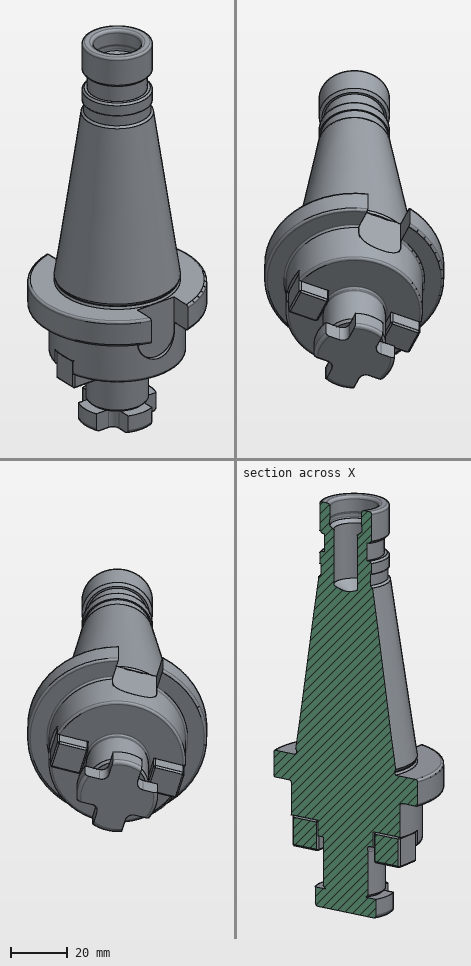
import cadquery as cq
import math


total_height = 149.4

head_radius = 14.2
head_height = 7.2
head_edge_round = 1.3
arm_half_width = 5.2
arm_corner_round = 2.7

spigot_radius = 11.0
spigot_chamfer = 0.9
spigot_relief_height = 2.0

relief_depth = 0.1
relief_run_out = 0.6

body_radius = 24.0
body_bottom = 26.0
body_edge_round = 0.9
body_neck_round = 0.7

flange_radius = 31.5
flange_thickness = 10.0
flange_top = 54.4
flange_bottom = flange_top - flange_thickness
flange_edge_round = 0.9

taper_slope = 7 / 48
taper_bottom = 56.5
taper_top = 121.5
taper_radius = 22.3
taper_top_radius = taper_radius - (taper_top - taper_bottom) * taper_slope
taper_relief_radius = 21.8
taper_relief_height = 0.9

collar_radius = 12.4
end_round = 0.9
lower_groove_radius = 12.0
lower_groove_chamfer = 0.7
collar_bottom = 126.4
collar_top = 131.2
collar_chamfer = 0.7
neck_radius = 10.6
cap_bottom = 137.6
cap_bevel_height = 1.0
cap_bevel_radius = 11.4

bore_radius = 8.5
bore_mouth_round = 1.2
bore_depth = 8.2
bore_relief_height = 2.4
thread_radius = 7.2
hole_depth = 29.9
drill_half_angle = 59

drive_slot_width = 16.1
drive_slot_floor = 22.4
drive_slot_bottom = 33.2

key_width = 10.5
key_inner = 12.0
key_outer = 23.2
key_bottom = 20.3
key_top = 31.7
key_chamfer = 0.6


def revolve_profile(profile):
    return profile.close().revolve(360, (0, 0, 0), (0, 1, 0))


def make_arbor():
    relief_radius = spigot_radius - relief_depth
    relief_bottom = body_bottom - spigot_relief_height
    profile = (
        cq.Workplane("XZ")
        .moveTo(0, head_height)
        .lineTo(spigot_radius - spigot_chamfer, head_height)
        .lineTo(spigot_radius, head_height + spigot_chamfer)
        .lineTo(spigot_radius, relief_bottom)
        .lineTo(relief_radius, relief_bottom + relief_run_out)
        .lineTo(relief_radius, body_bottom - relief_run_out)
        .radiusArc((relief_radius + relief_run_out, body_bottom), relief_run_out)
        .lineTo(body_radius - body_edge_round, body_bottom)
        .radiusArc((body_radius, body_bottom + body_edge_round), -body_edge_round)
        .lineTo(body_radius, flange_bottom - body_neck_round)
        .radiusArc((body_radius + body_neck_round, flange_bottom), body_neck_round)
        .lineTo(flange_radius - flange_edge_round, flange_bottom)
        .radiusArc((flange_radius, flange_bottom + flange_edge_round), -flange_edge_round)
        .lineTo(flange_radius, flange_top - flange_edge_round)
        .radiusArc((flange_radius - flange_edge_round, flange_top), -flange_edge_round)
        .lineTo(taper_radius, flange_top)
        .lineTo(taper_relief_radius, flange_top + taper_relief_height)
        .lineTo(taper_relief_radius, taper_bottom - taper_relief_height)
        .lineTo(taper_radius, taper_bottom)
        .lineTo(taper_top_radius, taper_top)
        .lineTo(lower_groove_radius, taper_top + lower_groove_chamfer)
        .lineTo(lower_groove_radius, collar_bottom)
        .lineTo(collar_radius, collar_bottom)
        .lineTo(collar_radius, collar_top - collar_chamfer)
        .lineTo(collar_radius - collar_chamfer, collar_top)
        .lineTo(neck_radius, collar_top)
        .lineTo(neck_radius, cap_bottom)
        .lineTo(cap_bevel_radius, cap_bottom)
        .lineTo(collar_radius, cap_bottom + cap_bevel_height)
        .lineTo(collar_radius, total_height - end_round)
        .radiusArc((collar_radius - end_round, total_height), -end_round)
        .lineTo(0, total_height)
    )
    return revolve_profile(profile)


def make_bore():
    bore_floor = total_height - bore_depth
    relief_radius = bore_radius + relief_depth
    relief_top = bore_floor + bore_relief_height
    hole_floor = total_height - hole_depth
    drill_tip = hole_floor - thread_radius / math.tan(math.radians(drill_half_angle))
    profile = (
        cq.Workplane("XZ")
        .moveTo(0, total_height)
        .lineTo(bore_radius + bore_mouth_round, total_height)
        .radiusArc((bore_radius, total_height - bore_mouth_round), -bore_mouth_round)
        .lineTo(bore_radius, relief_top)
        .lineTo(relief_radius, relief_top - relief_run_out)
        .lineTo(relief_radius, bore_floor + relief_run_out)
        .lineTo(bore_radius, bore_floor)
        .lineTo(thread_radius, bore_floor - (bore_radius - thread_radius))
        .lineTo(thread_radius, hole_floor)
        .lineTo(0, drill_tip)
    )
    return revolve_profile(profile)


def make_screw_head():
    head = cq.Workplane("XY").circle(head_radius).extrude(head_height)
    head = head.faces("<Z").edges().fillet(head_edge_round)
    gap_size = 2 * head_radius
    gap_centre = arm_half_width + gap_size / 2
    gap = cq.Workplane("XY").rect(gap_size, gap_size).extrude(head_height)
    gap = gap.edges("|Z").fillet(arm_corner_round)
    for x_side in (-1, 1):
        for y_side in (-1, 1):
            head = head.cut(gap.translate((x_side * gap_centre, y_side * gap_centre, 0)))
    return head


def make_drive_slot():
    """Round-ended slot with a flat floor on the +X side, open at the top of the flange."""
    slot_radius = drive_slot_width / 2
    slot_depth = flange_radius - drive_slot_floor
    round_centre = drive_slot_bottom + slot_radius
    slot_end = (
        cq.Workplane("YZ").center(0, round_centre).circle(slot_radius).extrude(slot_depth)
    )
    slot_run = (
        cq.Workplane("YZ")
        .center(0, (round_centre + flange_top) / 2)
        .rect(drive_slot_width, flange_top - round_centre)
        .extrude(slot_depth)
    )
    return slot_end.union(slot_run).translate((drive_slot_floor, 0, 0))


def block_between(width, inner, outer, bottom, top):
    """Block centred on X, reaching from inner to outer along +Y."""
    block = cq.Workplane("XY").box(width, outer - inner, top - bottom, centered=(True, False, False))
    return block.translate((0, inner, bottom))


def make_key():
    return block_between(key_width, key_inner, key_outer, key_bottom, key_top).edges().chamfer(key_chamfer)


def make_key_seat():
    return block_between(key_width, key_inner, body_radius, body_bottom, key_top)


def turned(shape, angle):
    return shape.rotate((0, 0, 0), (0, 0, 1), angle)


result = make_arbor().cut(make_bore()).union(make_screw_head())
for angle in (0, 180):
    result = result.cut(turned(make_drive_slot(), angle))
    result = result.cut(turned(make_key_seat(), angle))
    result = result.union(turned(make_key(), angle))